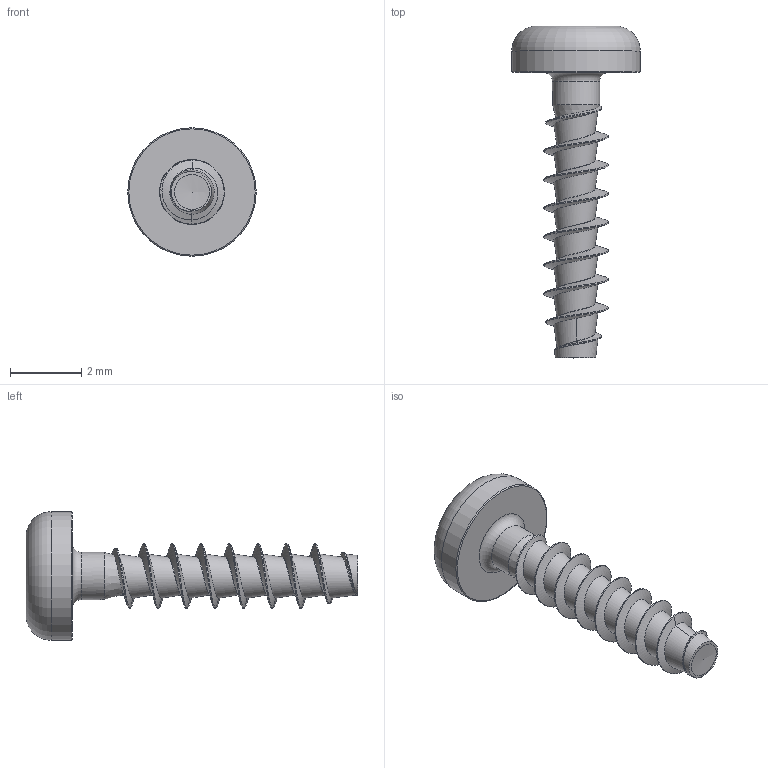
import cadquery as cq
import math


head_radius = 1.8
head_height = 1.3
head_crown_radius = 0.7
head_edge_radius = 0.03

shank_length = 8.0
plain_length = 0.9
plain_radius = 0.66
neck_fillet_radius = 0.25
core_radius = 0.53
core_blend_length = 0.5
tip_dish_radius = 0.49
tip_dish_depth = 0.025

pitch = 0.8
crest_radius = 0.9
crest_flat = 0.03
flank_angle = 15.0
root_high_radius = 0.62
least_flank_height = 0.01
embed_depth = 0.002
turn_gap = 0.004
thread_start_depth = 0.8
run_in_turns = 1.0
run_out_turns = 1.5
run_out_crest_radius = 0.55
start_angle = -90.0
points_per_turn = 16

thread_turns = (shank_length - thread_start_depth) / pitch
foot_radius = core_radius - embed_depth
flank_slope = math.tan(math.radians(flank_angle))


def blend(start, end, fraction):
    """Linear change from start to end, held constant outside the 0..1 range."""
    return start + (end - start) * min(max(fraction, 0.0), 1.0)


def make_body():
    """Head, neck fillet, plain shank, core and hollow tip as one revolved profile."""
    crown_mid = head_crown_radius * math.sqrt(0.5)
    crown_centre_x = head_radius - head_crown_radius
    crown_centre_y = head_height - head_crown_radius
    edge_mid = head_edge_radius * (1 - math.sqrt(0.5))
    neck_mid = neck_fillet_radius * (1 - math.sqrt(0.5))
    dish_sphere_radius = (tip_dish_radius**2 + tip_dish_depth**2) / (2 * tip_dish_depth)
    dish_mid_drop = dish_sphere_radius - math.sqrt(dish_sphere_radius**2 - (tip_dish_radius / 2) ** 2)
    dish_mid_y = -shank_length + tip_dish_depth - dish_mid_drop
    profile = (
        cq.Workplane("XY")
        .moveTo(0, head_height)
        .lineTo(crown_centre_x, head_height)
        .threePointArc(
            (crown_centre_x + crown_mid, crown_centre_y + crown_mid),
            (head_radius, crown_centre_y),
        )
        .lineTo(head_radius, head_edge_radius)
        .threePointArc(
            (head_radius - edge_mid, edge_mid),
            (head_radius - head_edge_radius, 0),
        )
        .lineTo(plain_radius + neck_fillet_radius, 0)
        .threePointArc(
            (plain_radius + neck_mid, -neck_mid),
            (plain_radius, -neck_fillet_radius),
        )
        .lineTo(plain_radius, -plain_length)
        .lineTo(core_radius, -plain_length - core_blend_length)
        .lineTo(core_radius, -shank_length)
        .lineTo(tip_dish_radius, -shank_length)
        .threePointArc(
            (tip_dish_radius / 2, dish_mid_y),
            (0, -shank_length + tip_dish_depth),
        )
        .close()
    )
    return profile.revolve(360, (0, 0, 0), (0, 1, 0))


def crest_at(turn):
    """Crest radius: rises along the run-in, then falls along the run-out to the tip."""
    run_out = (turn - thread_turns + run_out_turns) / run_out_turns
    risen = blend(plain_radius, crest_radius, turn / run_in_turns)
    return blend(risen, run_out_crest_radius, run_out)


def thread_section(turn):
    """Thread corners at a turn count, as (offset toward the tip, radius) pairs."""
    crest = crest_at(turn)
    root_high = min(root_high_radius, crest - least_flank_height)
    half_flat = crest_flat / 2
    half_foot = half_flat + (crest - foot_radius) * flank_slope
    next_half_foot = half_flat + (crest_at(turn + 1) - foot_radius) * flank_slope
    return [
        (-half_foot, foot_radius),
        (-half_flat, crest),
        (half_flat, crest),
        (half_flat + (crest - root_high) * flank_slope, root_high),
        (pitch - next_half_foot - turn_gap, foot_radius),
    ]


def thread_corners(turn):
    """Corners of the thread section placed in space."""
    angle = math.radians(start_angle + 360.0 * turn)
    ridge_y = -thread_start_depth - pitch * turn
    return [
        cq.Vector(radius * math.cos(angle), ridge_y - offset, radius * math.sin(angle))
        for offset, radius in thread_section(turn)
    ]


def thread_stretch(first_turn, last_turn):
    """Helical faces of the thread between two turn counts."""
    steps = math.ceil((last_turn - first_turn) * points_per_turn)
    stations = [
        thread_corners(first_turn + (last_turn - first_turn) * step / steps)
        for step in range(steps + 1)
    ]
    rails = [cq.Edge.makeSpline(list(path)) for path in zip(*stations)]
    return [
        cq.Face.makeRuledSurface(rail, rails[index - 1])
        for index, rail in enumerate(rails)
    ]


def thread_cap(turn):
    """Flat face closing the thread at one end."""
    return cq.Face.makeFromWires(cq.Wire.makePolygon(thread_corners(turn), close=True))


def make_thread():
    """Thread with run-in and run-out, trimmed flush with the tip."""
    whole_turns = range(math.ceil(thread_turns))
    breaks = sorted({*whole_turns, run_in_turns, thread_turns - run_out_turns, thread_turns})
    faces = [thread_cap(breaks[0]), thread_cap(breaks[-1])]
    for first_turn, last_turn in zip(breaks, breaks[1:]):
        faces += thread_stretch(first_turn, last_turn)
    solid = cq.Solid.makeSolid(cq.Shell.makeShell(faces)).fix()
    envelope = cq.Workplane("XZ").circle(head_radius).extrude(shank_length)
    return envelope.intersect(cq.Workplane(solid))


result = make_body().union(make_thread())